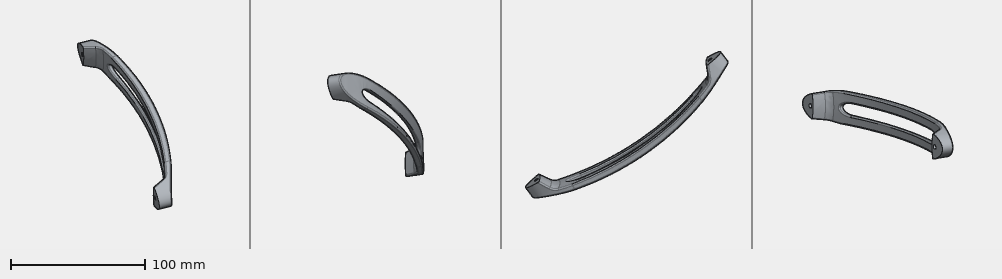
import cadquery as cq
import math

length = 180.0
height = 28.6
width = 25.0
half_length = length / 2
half_width = width / 2

tip_height = 9.9
middle_height = 24.5
rim_extra = 1.0
rim_height = height + rim_extra
rim_end_height = 8.5

outline_end_length = 31.5

arch_height = 22.9
arch_radius = 219.6
leg_foot_x = 76.3
leg_corner_x = 70.4
leg_bulge = 2.0
leg_fillet = 8.5

slot_half_length = 62.1
slot_half_width = 4.7
slot_end_length = 10.0

hole_x = 80.0
hole_diameter = 3.2
hole_depth = 9.0
drill_point_angle = 118.0

edge_round = 1.0
slot_top_round = 0.5
clearance = 3.6


def elliptical_ended_slab(half_x, half_z, end_length):
    """Prism along Y whose outline has straight sides and half-ellipse ends."""
    straight_x = half_x - end_length
    top = height + clearance
    depth = top + clearance
    plane = cq.Workplane("XZ", origin=(0, top, 0))
    slab = plane.rect(2 * straight_x, 2 * half_z).extrude(depth)
    ends = plane.pushPoints([(-straight_x, 0), (straight_x, 0)]).ellipse(end_length, half_z).extrude(depth)
    return slab.union(ends)


def loft_across(middle_section, side_section):
    """Smooth solid with one section at mid width and another at both sides."""
    wires = [
        side_section.moved(cq.Location(cq.Vector(0, 0, -half_width))),
        middle_section,
        side_section.moved(cq.Location(cq.Vector(0, 0, half_width))),
    ]
    return cq.Workplane(cq.Solid.makeLoft(wires))


def bow_section(end_height, top_height):
    """Lengthwise section of the solid bow, from the mounting face to the outer arc."""
    return (
        cq.Workplane()
        .moveTo(-half_length, 0)
        .lineTo(-half_length, end_height)
        .threePointArc((0, top_height), (half_length, end_height))
        .lineTo(half_length, 0)
        .close()
        .val()
    )


def underside_section(shift):
    """Lengthwise section of the space below the grip, with the legs shifted outwards."""
    corner_x = leg_corner_x + shift
    corner_y = arch_height - arch_radius + math.sqrt(arch_radius**2 - leg_corner_x**2)
    run_per_height = (leg_foot_x - leg_corner_x) / corner_y
    base_x = leg_foot_x + shift + run_per_height * clearance
    wire = (
        cq.Workplane()
        .moveTo(-base_x, -clearance)
        .lineTo(-corner_x, corner_y)
        .threePointArc((0, arch_height), (corner_x, corner_y))
        .lineTo(base_x, -clearance)
        .close()
        .val()
    )
    corners = [vertex for vertex in wire.Vertices() if vertex.Y > 0]
    return wire.fillet2D(leg_fillet, corners)


def screw_hole(x):
    radius = hole_diameter / 2
    point_depth = radius / math.tan(math.radians(drill_point_angle / 2))
    return (
        cq.Workplane(origin=(x, 0, 0))
        .polyline([(0, 0), (radius, 0), (radius, hole_depth), (0, hole_depth + point_depth)])
        .close()
        .revolve(360, (0, 0), (0, 1))
    )


def round_long_edge(body, z, low_y, high_y, radius):
    """Round the long edge near z centred between two heights, and all edges tangent to it."""
    reach = edge_round
    box = cq.selectors.BoxSelector((-reach, low_y, z - reach), (reach, high_y, z + reach))
    return body.edges(box).fillet(radius)


bow = loft_across(bow_section(tip_height, middle_height), bow_section(rim_end_height, rim_height))
outline = elliptical_ended_slab(half_length, half_width, outline_end_length)
result = bow.intersect(outline)
result = result.faces(">Y").edges().fillet(edge_round)

result = result.cut(loft_across(underside_section(0), underside_section(leg_bulge)))
for side in (-1, 1):
    result = round_long_edge(result, side * half_width, 0, arch_height, edge_round)

result = result.cut(elliptical_ended_slab(slot_half_length, slot_half_width, slot_end_length))
result = round_long_edge(result, slot_half_width, 0, arch_height, edge_round)
result = round_long_edge(result, slot_half_width, arch_height, height, slot_top_round)

for side in (-1, 1):
    result = result.cut(screw_hole(side * hole_x))